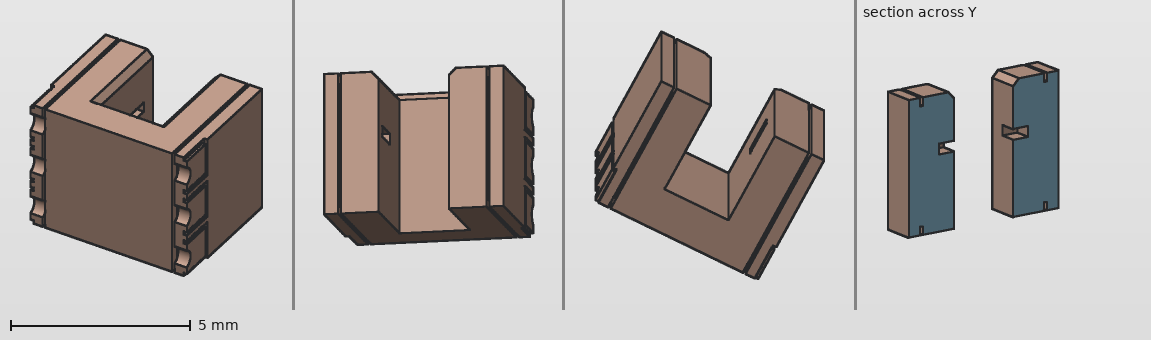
import cadquery as cq

total_width = 5.1
depth = 4.0
height = 4.0

board_thickness = 0.4
joint_thickness = 0.08
joint_inset = 0.25
body_width = total_width - 2 * (board_thickness + joint_thickness)

slot_width = 2.0
front_wall = 1.2
slot_chamfer = 0.2

window_height = 0.3
window_top = 2.55
window_front = 2.5
window_back = 3.5
window_depth = 0.5

pad_count = 3
pad_pitch = 1.4
pad_height = 1.0
pad_length = 1.0
groove_depth = 0.1
groove_width = 0.1

notch_radius = 0.3
notch_depth = 0.2


def block(x_start, x_end, y_start, y_end, z_start, z_end):
    """Box spanning the given limits along X, Y and Z."""
    size = (x_end - x_start, y_end - y_start, z_end - z_start)
    return cq.Workplane("XY").box(*size, centered=False).translate((x_start, y_start, z_start))


def make_body():
    """Solid block with the chamfered slot cut into its back."""
    half_width = body_width / 2
    half_slot = slot_width / 2
    body = block(-half_width, half_width, 0, depth, 0, height)
    slot = block(-half_slot, half_slot, front_wall, depth, 0, height)
    flare_base = height - slot_chamfer
    flare_length = 2 * (depth - front_wall)
    flare = (
        cq.Workplane("XY", origin=(0, depth, flare_base))
        .rect(slot_width, flare_length)
        .workplane(offset=slot_chamfer)
        .rect(slot_width + 2 * slot_chamfer, flare_length + 2 * slot_chamfer)
        .loft(ruled=True)
    )
    return body.cut(slot).cut(flare)


def make_window():
    """Cutter for the window in the +X slot wall."""
    wall = slot_width / 2
    window_bottom = window_top - window_height
    return block(wall, wall + window_depth, window_front, window_back, window_bottom, window_top)


def make_joint():
    """Thin layer between the body and the +X board."""
    inner = body_width / 2
    outer = inner + joint_thickness
    return block(inner, outer, joint_inset, depth - joint_inset, joint_inset, height - joint_inset)


def make_pad_cutter(pad_z):
    """Groove around one pad on the +X board, together with the pad's round notch."""
    face = total_width / 2
    half_pad = pad_height / 2
    half_outline = half_pad + groove_width
    outline_length = pad_length + groove_width
    groove_floor = face - groove_depth
    outline = block(groove_floor, face, 0, outline_length, pad_z - half_outline, pad_z + half_outline)
    pad = block(groove_floor, face, 0, pad_length, pad_z - half_pad, pad_z + half_pad)
    notch = (
        cq.Workplane("YZ", origin=(face - board_thickness, 0, 0))
        .center(notch_depth - notch_radius, pad_z)
        .circle(notch_radius)
        .extrude(board_thickness)
    )
    return outline.cut(pad).union(notch)


def make_board():
    """The +X side board with its row of pads."""
    face = total_width / 2
    board = block(face - board_thickness, face, 0, depth, 0, height)
    for index in range(pad_count):
        pad_z = height / 2 + (index - (pad_count - 1) / 2) * pad_pitch
        board = board.cut(make_pad_cutter(pad_z))
    return board


window = make_window()
side = make_joint().union(make_board())
result = make_body().cut(window).cut(window.mirror("YZ"))
result = result.union(side).union(side.mirror("YZ"))